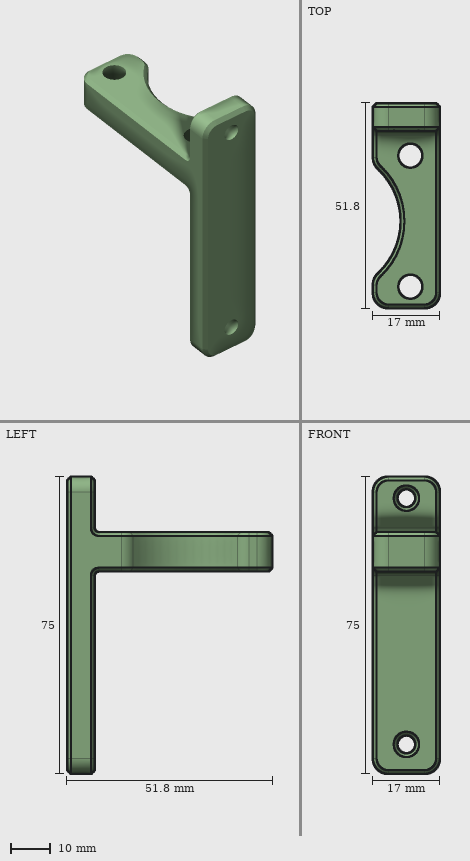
import cadquery as cq
import math

plate_width = 17.0
plate_height = 75.0
plate_thickness = 7.0
corner_radius = 4.0
edge_chamfer = 1.0
left_side = -plate_width / 2
right_side = plate_width / 2

total_depth = 51.75
arm_thickness = 10.0
arm_drop = 14.0
arm_top = plate_height - arm_drop
arm_bottom = arm_top - arm_thickness
arm_tip = -total_depth
plate_front = -plate_thickness
junction_radius = 1.0

arm_hole_diameter = 6.0
arm_hole_x = 1.0
arm_hole_tip_distance = 5.5
arm_hole_spacing = 33.0

relief_radius = 18.0
relief_depth = 7.0
relief_lip_radius = 4.0
relief_y = arm_tip + arm_hole_tip_distance + arm_hole_spacing / 2

screw_hole_diameter = 4.4
countersink_diameter = 6.4
countersink_angle = 90.0
lower_screw_edge_distance = 7.5
upper_screw_edge_distance = 5.5
screw_hole_heights = (lower_screw_edge_distance, plate_height - upper_screw_edge_distance)


def make_plate():
    """Upright plate with rounded corners."""
    plate = cq.Workplane("XY", origin=(0, plate_front, 0)).box(
        plate_width, plate_thickness, plate_height, centered=(True, False, False)
    )
    return plate.edges("|Y").fillet(corner_radius)


def make_arm():
    """Arm with a rounded tip and a relief that runs tangentially into its left side."""
    relief_x = left_side + relief_depth - relief_radius
    lip_x = left_side + relief_lip_radius
    center_distance = relief_radius + relief_lip_radius
    lip_offset = math.sqrt(center_distance**2 - (lip_x - relief_x) ** 2)
    lip_angle = math.atan2(lip_offset, lip_x - relief_x)
    blend_x = relief_x + relief_radius * math.cos(lip_angle)
    blend_offset = relief_radius * math.sin(lip_angle)

    lip_mid_x = lip_x - relief_lip_radius * math.cos(lip_angle / 2)
    lip_mid_offset = lip_offset - relief_lip_radius * math.sin(lip_angle / 2)

    root_y = plate_front / 2
    arm = (
        cq.Workplane("XY", origin=(0, 0, arm_bottom))
        .moveTo(left_side, root_y)
        .lineTo(left_side, relief_y + lip_offset)
        .threePointArc((lip_mid_x, relief_y + lip_mid_offset), (blend_x, relief_y + blend_offset))
        .threePointArc((left_side + relief_depth, relief_y), (blend_x, relief_y - blend_offset))
        .threePointArc((lip_mid_x, relief_y - lip_mid_offset), (left_side, relief_y - lip_offset))
        .lineTo(left_side, arm_tip)
        .lineTo(right_side, arm_tip)
        .lineTo(right_side, root_y)
        .close()
        .extrude(arm_thickness)
    )
    return arm.faces("<Y").edges("|Z").fillet(corner_radius)


def join(plate, arm):
    """Join arm and plate with a small fillet above and below the arm."""
    body = plate.union(arm)
    reach = junction_radius / 2
    junction = cq.selectors.BoxSelector(
        (left_side, plate_front - reach, arm_bottom - reach),
        (right_side, plate_front + reach, arm_top + reach),
    )
    return body.edges("|X").edges(junction).fillet(junction_radius)


def chamfer_outline(body):
    """Chamfer the back outline and the two tangent loops over the plate front and around the arm."""
    back_outline = body.faces(">Y").edges()
    upper_loop_start = body.faces(">Z").edges("<Y")
    lower_loop_start = body.faces("<Z").edges("<Y")
    return back_outline.add(upper_loop_start).add(lower_loop_start).chamfer(edge_chamfer)


def drill_arm_holes(body):
    """Plain holes through the arm, one on each side of the relief."""
    hole_points = [(arm_hole_x, relief_y + side * arm_hole_spacing / 2) for side in (-1, 1)]
    holes = (
        cq.Workplane("XY", origin=(0, 0, arm_bottom))
        .pushPoints(hole_points)
        .circle(arm_hole_diameter / 2)
        .extrude(arm_thickness)
    )
    return body.cut(holes)


def drill_screw_holes(body):
    """Countersunk holes from the plate front, one near each end of the plate."""
    return (
        body.copyWorkplane(cq.Workplane("XZ", origin=(0, plate_front, 0)))
        .pushPoints([(0, height) for height in screw_hole_heights])
        .cskHole(screw_hole_diameter, countersink_diameter, countersink_angle, depth=plate_thickness)
    )


bracket = join(make_plate(), make_arm())
bracket = chamfer_outline(bracket)
bracket = drill_arm_holes(bracket)
result = drill_screw_holes(bracket)